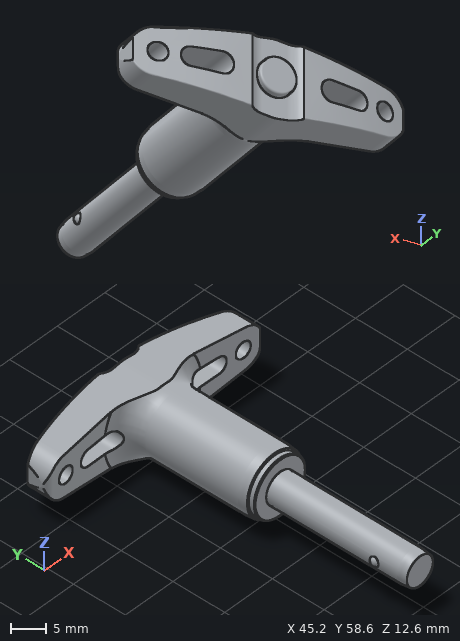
import cadquery as cq
import math


SHANK_RADIUS = 2.95
SHANK_LENGTH = 27.0
TIP_RADIUS = 2.75
TIP_TAPER_LENGTH = 1.65
BALL_RADIUS = 0.93
BALL_REACH = 3.45
BALL_Y = -20.85

SLEEVE_RADIUS = 5.875
COLLAR_RADIUS = 5.36
COLLAR_HEIGHT = 1.15
COLLAR_CHAMFER = 0.15
SLEEVE_END_RADIUS = 5.72
SLEEVE_TAPER_TOP_Y = 2.75
SLEEVE_TOP_Y = 20.6

NECK_FILLET_RADIUS = 4.07
UNDERSIDE_ANGLE = math.radians(2.6)
FLARE_RADIUS = SLEEVE_RADIUS + NECK_FILLET_RADIUS * (1 + math.sin(UNDERSIDE_ANGLE))
FLARE_TOP_Y = SLEEVE_TOP_Y + NECK_FILLET_RADIUS * math.cos(UNDERSIDE_ANGLE)

HUB_RADIUS = 6.32
END_RADIUS = 4.0
HANDLE_HALF_LENGTH = 22.6
END_CENTER_X = HANDLE_HALF_LENGTH - END_RADIUS

CROWN_Y = 31.35
CROWN_FLAT_HALF = 4.3
CROWN_MID_X = 13.3
CROWN_MID_Y = 30.53
CROWN_END_X = 22.15
CROWN_END_Y = 28.45
WIDEST_Y = 25.2
UNDERSIDE_RIDGE_Y = FLARE_TOP_Y + FLARE_RADIUS * math.tan(UNDERSIDE_ANGLE)
UNDERSIDE_END_Y = UNDERSIDE_RIDGE_Y - HANDLE_HALF_LENGTH * math.tan(UNDERSIDE_ANGLE)
UNDERSIDE_CORNER_RADIUS = 1.0
CROWN_FILLET = 0.25

RECESS_FLOOR_Y = 30.35
RECESS_FLOOR_HALF = 2.1
RECESS_MOUTH_HALF = 4.25

BUTTON_RADIUS = 3.0
BUTTON_TOP_Y = 31.6
BUTTON_FILLET = 0.35

HOLE_RADIUS = 1.5
SLOT_OUTER_X = 13.7
SLOT_OUTER_RADIUS = 1.57
SLOT_INNER_X = 8.95
SLOT_INNER_RADIUS = 1.77

CUT_HEIGHT = 40.0


def hull_of_circles(x_a, radius_a, x_b, radius_b):
    """Closed XZ wire around two circles on the X axis, with x_a < x_b."""
    lean = (radius_a - radius_b) / (x_b - x_a)
    rise = math.sqrt(1 - lean**2)
    top_a = (x_a + radius_a * lean, radius_a * rise)
    top_b = (x_b + radius_b * lean, radius_b * rise)
    return (
        cq.Workplane("XZ")
        .moveTo(*top_a)
        .lineTo(*top_b)
        .threePointArc((x_b + radius_b, 0), (top_b[0], -top_b[1]))
        .lineTo(top_a[0], -top_a[1])
        .threePointArc((x_a - radius_a, 0), top_a)
        .close()
    )


def both_sides(half):
    """The half on +X together with its mirror image on -X."""
    return half.union(half.mirror("YZ"))


def handle_outline():
    """Prism along Y with the handle's lozenge outline."""
    arm = hull_of_circles(0, HUB_RADIUS, END_CENTER_X, END_RADIUS)
    return both_sides(arm.extrude(-CUT_HEIGHT))


def handle_profile():
    """Crowned side profile of the handle, extruded across its thickness."""
    profile = (
        cq.Workplane("XY")
        .moveTo(-CROWN_FLAT_HALF, CROWN_Y)
        .lineTo(CROWN_FLAT_HALF, CROWN_Y)
        .threePointArc((CROWN_MID_X, CROWN_MID_Y), (CROWN_END_X, CROWN_END_Y))
        .lineTo(HANDLE_HALF_LENGTH, WIDEST_Y)
        .lineTo(HANDLE_HALF_LENGTH, UNDERSIDE_END_Y)
        .lineTo(0, UNDERSIDE_RIDGE_Y)
        .lineTo(-HANDLE_HALF_LENGTH, UNDERSIDE_END_Y)
        .lineTo(-HANDLE_HALF_LENGTH, WIDEST_Y)
        .lineTo(-CROWN_END_X, CROWN_END_Y)
        .threePointArc((-CROWN_MID_X, CROWN_MID_Y), (-CROWN_FLAT_HALF, CROWN_Y))
        .close()
        .extrude(HUB_RADIUS, both=True)
    )
    lower_corners = cq.selectors.BoxSelector(
        (-CUT_HEIGHT, UNDERSIDE_END_Y - CROWN_FILLET, -CUT_HEIGHT),
        (CUT_HEIGHT, UNDERSIDE_END_Y + CROWN_FILLET, CUT_HEIGHT),
    )
    return profile.edges("|Z").edges(lower_corners).fillet(UNDERSIDE_CORNER_RADIUS)


def neck():
    """Turned flare from the sleeve into the crossbar, trimmed to the handle outline."""
    flare = (
        cq.Workplane("XY")
        .moveTo(0, SLEEVE_TOP_Y)
        .lineTo(SLEEVE_RADIUS, SLEEVE_TOP_Y)
        .radiusArc((FLARE_RADIUS, FLARE_TOP_Y), NECK_FILLET_RADIUS)
        .lineTo(FLARE_RADIUS, WIDEST_Y)
        .lineTo(0, WIDEST_Y)
        .close()
        .revolve(360, (0, 0), (0, 1))
    )
    return flare.intersect(handle_outline())


def handle_bar():
    """Crossbar with a rounded rim around its crown."""
    bar = handle_profile().intersect(handle_outline())
    rim = cq.selectors.BoxSelector(
        (-CUT_HEIGHT, CROWN_END_Y - CROWN_FILLET, -CUT_HEIGHT),
        (CUT_HEIGHT, CUT_HEIGHT, CUT_HEIGHT),
    )
    return bar.edges(rim).edges("not |Z").fillet(CROWN_FILLET)


def button_recess():
    """Scooped channel across the middle of the crown."""
    half_width = RECESS_MOUTH_HALF - RECESS_FLOOR_HALF
    depth = CROWN_Y - RECESS_FLOOR_Y
    scoop_radius = (half_width**2 + depth**2) / (2 * depth)
    return (
        cq.Workplane("XY")
        .moveTo(-RECESS_MOUTH_HALF, CROWN_Y)
        .radiusArc((-RECESS_FLOOR_HALF, RECESS_FLOOR_Y), -scoop_radius)
        .lineTo(RECESS_FLOOR_HALF, RECESS_FLOOR_Y)
        .radiusArc((RECESS_MOUTH_HALF, CROWN_Y), -scoop_radius)
        .close()
        .extrude(HUB_RADIUS, both=True)
    )


def arm_openings():
    """Round hole and tapered slot through each arm."""
    hole = cq.Workplane("XZ").center(END_CENTER_X, 0).circle(HOLE_RADIUS).extrude(-CUT_HEIGHT)
    slot = hull_of_circles(SLOT_INNER_X, SLOT_INNER_RADIUS, SLOT_OUTER_X, SLOT_OUTER_RADIUS)
    return both_sides(hole.union(slot.extrude(-CUT_HEIGHT)))


def pin_and_sleeve():
    """Turned body: tapered tip, shank, collar and sleeve."""
    return (
        cq.Workplane("XY")
        .moveTo(0, -SHANK_LENGTH)
        .lineTo(TIP_RADIUS, -SHANK_LENGTH)
        .lineTo(SHANK_RADIUS, TIP_TAPER_LENGTH - SHANK_LENGTH)
        .lineTo(SHANK_RADIUS, 0)
        .lineTo(COLLAR_RADIUS - COLLAR_CHAMFER, 0)
        .lineTo(COLLAR_RADIUS, COLLAR_CHAMFER)
        .lineTo(COLLAR_RADIUS, COLLAR_HEIGHT)
        .lineTo(SLEEVE_END_RADIUS, COLLAR_HEIGHT)
        .lineTo(SLEEVE_RADIUS, SLEEVE_TAPER_TOP_Y)
        .lineTo(SLEEVE_RADIUS, SLEEVE_TOP_Y)
        .lineTo(0, SLEEVE_TOP_Y)
        .close()
        .revolve(360, (0, 0), (0, 1))
    )


def locking_balls():
    """Pair of balls standing out of the shank near its tip."""
    ball = cq.Workplane("XY").sphere(BALL_RADIUS).translate((BALL_REACH - BALL_RADIUS, BALL_Y, 0))
    return both_sides(ball)


def release_button():
    """Round-edged button standing in the recess."""
    button = cq.Workplane("XZ", origin=(0, RECESS_FLOOR_Y, 0)).circle(BUTTON_RADIUS)
    button = button.extrude(RECESS_FLOOR_Y - BUTTON_TOP_Y)
    return button.faces(">Y").edges().fillet(BUTTON_FILLET)


handle = handle_bar().union(neck()).cut(button_recess()).cut(arm_openings())
result = handle.union(pin_and_sleeve()).union(release_button()).union(locking_balls())